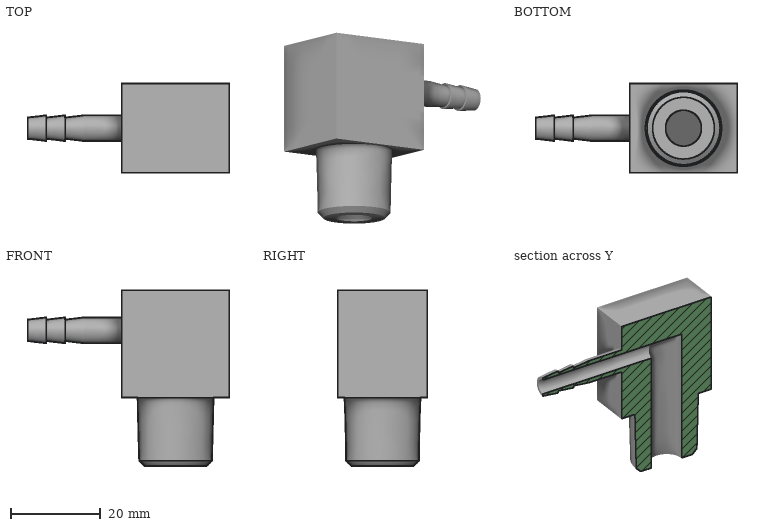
import cadquery as cq

total_length = 45.0
block_length = 24.05
block_width = 20.0
block_height = 24.0
total_height = 39.25

barb_length = total_length - block_length
barb_drop = 8.95
barb_diameter = 5.8
barb_small_diameter = 4.8
barb_count = 3
barb_pitch = 4.2
barb_bore_diameter = 3.5

spigot_length = total_height - block_height
spigot_top_diameter = 17.0
spigot_bottom_diameter = 16.3
spigot_end_diameter = 13.75
spigot_chamfer_height = 1.25
spigot_bore_diameter = 8.0

barb_axis_z = block_height - barb_drop
block_face_x = -block_length / 2
barb_tip_x = block_face_x - barb_length


def make_block():
    return cq.Workplane("XY").box(block_length, block_width, block_height, centered=(True, True, False))


def make_spigot():
    """Tapered round spigot with a chamfered lower end."""
    return (
        cq.Workplane("XZ")
        .moveTo(0, 0)
        .lineTo(spigot_top_diameter / 2, 0)
        .lineTo(spigot_bottom_diameter / 2, spigot_chamfer_height - spigot_length)
        .lineTo(spigot_end_diameter / 2, -spigot_length)
        .lineTo(0, -spigot_length)
        .close()
        .revolve(360, (0, 0, 0), (0, 1, 0))
    )


def make_barb():
    """Plain stem with conical barbs that widen away from the tip."""
    profile = cq.Workplane("XZ", origin=(0, 0, barb_axis_z)).moveTo(barb_tip_x, 0)
    for index in range(barb_count):
        start_x = barb_tip_x + index * barb_pitch
        profile = profile.lineTo(start_x, barb_small_diameter / 2)
        profile = profile.lineTo(start_x + barb_pitch, barb_diameter / 2)
    return (
        profile.lineTo(block_face_x, barb_diameter / 2)
        .lineTo(block_face_x, 0)
        .close()
        .revolve(360, (0, 0, 0), (1, 0, 0))
    )


def make_passage():
    """Elbow passage: a vertical bore from below meeting the bore of the barb."""
    bore_top_z = barb_axis_z + barb_bore_diameter / 2
    vertical_bore = (
        cq.Workplane("XY", origin=(0, 0, -spigot_length))
        .circle(spigot_bore_diameter / 2)
        .extrude(spigot_length + bore_top_z)
    )
    barb_bore = (
        cq.Workplane("YZ", origin=(barb_tip_x, 0, barb_axis_z))
        .circle(barb_bore_diameter / 2)
        .extrude(-barb_tip_x)
    )
    return vertical_bore.union(barb_bore)


result = make_block().union(make_spigot()).union(make_barb()).cut(make_passage())